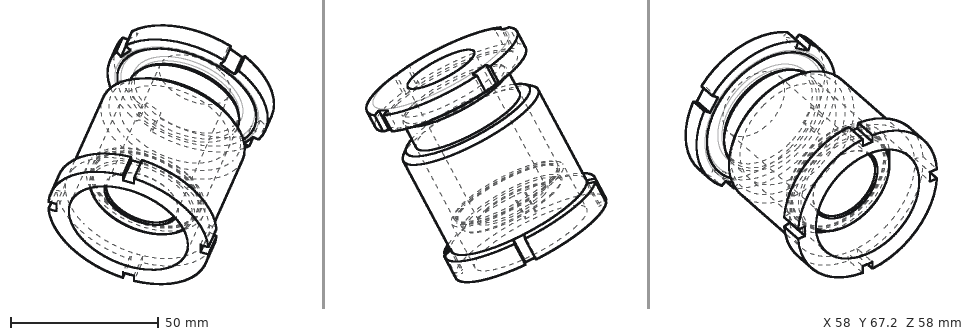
import cadquery as cq
import math

total_length = 67.2
flange_radius = 29.0
body_radius = 26.0
rim_chamfer_angle = math.radians(15)
rim_chamfer = (flange_radius - body_radius) * math.tan(rim_chamfer_angle)

housing_flange_length = 9.1
housing_length = 47.0
housing_chamfer_length = 2.0
housing_chamfer_height = 2.2
bore_radius = 21.5
bore_depth = 17.5
housing_slot_width = 4.05
housing_slot_angle = 0.0
housing_slot_floor_radius = 26.0

thread_radius = 20.0
thread_end_y = 57.4
thread_chamfer_length = 1.0
thread_chamfer_height = thread_chamfer_length * math.tan(math.radians(30))
chamfer_radius = thread_radius - thread_chamfer_height
relief_radius = 18.95
relief_fillet = 0.7
nose_y = 13.25
nose_chamfer = 0.6
hole_radius = 12.85
hole_chamfer = 0.6
head_length = 8.1
head_y = total_length - head_length
head_recess_radius = 25.15
head_recess_depth = 1.0
head_slot_width = 6.05
head_slot_angle = 56.5
head_slot_floor_radius = 26.55

slot_count = 4


def revolve_about_y(profile):
    """Revolve a closed (radius, y) profile a full turn about the Y axis."""
    return profile.close().revolve(360, (0, 0, 0), (0, 1, 0))


def cut_rim_slots(body, width, floor_radius, start_y, end_y, first_angle):
    """Cut axial slots into a rim; angles run from +X towards +Z."""
    slot = cq.Workplane("XY").box(
        flange_radius, end_y - start_y, width, centered=(False, False, True)
    ).translate((floor_radius, start_y, 0))
    for i in range(slot_count):
        angle = first_angle + i * 360 / slot_count
        body = body.cut(slot.rotate((0, 0, 0), (0, 1, 0), -angle))
    return body


def make_housing():
    profile = cq.Workplane("XY").polyline([
        (bore_radius, 0),
        (flange_radius, 0),
        (flange_radius, housing_flange_length - rim_chamfer),
        (body_radius, housing_flange_length),
        (body_radius, housing_length - housing_chamfer_length),
        (body_radius - housing_chamfer_height, housing_length),
        (thread_radius, housing_length),
        (thread_radius, bore_depth),
        (bore_radius, bore_depth),
    ])
    return cut_rim_slots(
        revolve_about_y(profile), housing_slot_width, housing_slot_floor_radius,
        0, housing_flange_length, housing_slot_angle,
    )


def make_gland_screw():
    recess_floor_y = head_y + head_recess_depth
    arc_rise = relief_fillet - (chamfer_radius - relief_radius)
    arc_length = math.sqrt(relief_fillet**2 - arc_rise**2)
    profile = (
        cq.Workplane("XY")
        .moveTo(hole_radius, total_length)
        .lineTo(hole_radius, nose_y + hole_chamfer)
        .lineTo(hole_radius + hole_chamfer, nose_y)
        .lineTo(relief_radius - nose_chamfer, nose_y)
        .lineTo(relief_radius, nose_y + nose_chamfer)
        .lineTo(relief_radius, bore_depth)
        .lineTo(chamfer_radius, bore_depth)
        .lineTo(thread_radius, bore_depth + thread_chamfer_length)
        .lineTo(thread_radius, thread_end_y - thread_chamfer_length)
        .lineTo(chamfer_radius, thread_end_y)
        .radiusArc((relief_radius, thread_end_y + arc_length), relief_fillet)
        .lineTo(relief_radius, head_y)
        .radiusArc((relief_radius + head_recess_depth, recess_floor_y), head_recess_depth)
        .lineTo(head_recess_radius - head_recess_depth, recess_floor_y)
        .radiusArc((head_recess_radius, head_y), head_recess_depth)
        .lineTo(body_radius, head_y)
        .lineTo(flange_radius, head_y + rim_chamfer)
        .lineTo(flange_radius, total_length - rim_chamfer)
        .lineTo(body_radius, total_length)
    )
    return cut_rim_slots(
        revolve_about_y(profile), head_slot_width, head_slot_floor_radius,
        head_y, total_length, head_slot_angle,
    )


housing = make_housing()
gland_screw = make_gland_screw()
result = cq.Compound.makeCompound([housing.val(), gland_screw.val()])